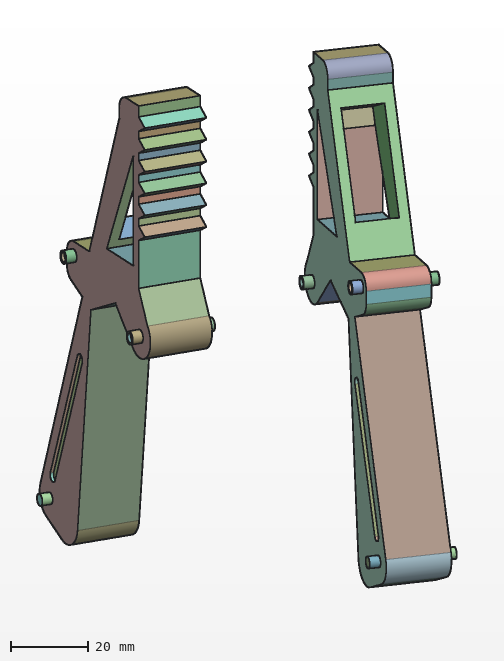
import math

import cadquery as cq

TILT = math.radians(22.2)

THICKNESS = 18.0
PIN_LENGTH = 3.0
PIN_DIAMETER = 3.6
HANDLE_PIN_DIAMETER = 3.2
PIN_BORE_DIAMETER = 2.6
PIN_BORE_DEPTH = 1.0
REAR_PIN = (0, 0)
ARM_PIN = (37.97, -10.45)
HANDLE_PIN = (-13.52, -70.94)

LUG_RADIUS = 3.9
LUG_STRAIGHT = 3.6

JAW_TOP = 52.65
JAW_FACE_X = 37.2
JAW_TOP_WIDTH = 11.2
JAW_SHOULDER_DROP = 7.0
JAW_CORNER_RADIUS = 4.0

ARM_RADIUS = 6.0
ARM_FRONT_LEAN = math.radians(30)
ARM_CHIN = (JAW_FACE_X, 2.5)
ARM_NOTCH = (23.85, -5.67)

NECK_WIDTH = 5.4
HANDLE_END_WIDTH = 24.4
HANDLE_REAR_RADIUS = 6.0
HANDLE_FRONT_RADIUS = 6.6

GROOVE_WIDTH = 3.0
GROOVE_SPACING = 40.0
GROOVE_DEPTH = 1.0
GROOVE_START = (1.6, 6.5)
GROOVE_LEAN = math.radians(22.7)

TOOTH_COUNT = 6
TOOTH_PITCH = 6.0
TOOTH_BASE = 4.0
TOOTH_HEIGHT = 3.5
FIRST_TOOTH_DROP = 3.0

OPENING_WIDTH = 15.0
OPENING_HEIGHT = 30.0
OPENING_WALL = 3.2
OPENING_FLOOR = 7.77
POCKET_LENGTH = 30.0
POCKET_WIDTH = 12.0
POCKET_DEPTH = 9.95
POCKET_SETBACK = 5.0


def from_tilted(across, along):
    """X and Z of a point given in the tilted frame of the handle."""
    x = across * math.cos(TILT) + along * math.sin(TILT)
    z = along * math.cos(TILT) - across * math.sin(TILT)
    return (x, z)


def to_tilted(point):
    """Across and along values of a point given by X and Z."""
    x, z = point
    across = x * math.cos(TILT) - z * math.sin(TILT)
    along = x * math.sin(TILT) + z * math.cos(TILT)
    return (across, along)


def plate(points, thickness=THICKNESS):
    """Polygon in the XZ plane, extruded evenly to both sides of Y = 0."""
    return cq.Workplane("XZ").polyline(points).close().extrude(thickness / 2, both=True)


def disc(center, diameter, thickness):
    """Cylinder along Y, centred on Y = 0."""
    return cq.Workplane("XZ").center(*center).circle(diameter / 2).extrude(thickness / 2, both=True)


def round_corner(body, corner, radius):
    """Fillet the edge that runs along Y through the given corner."""
    x, z = corner
    return body.edges(cq.selectors.NearestToPointSelector((x, 0, z))).fillet(radius)


lug_bottom_along = to_tilted((0, -LUG_STRAIGHT))[1] - LUG_RADIUS
handle_pin_across, handle_pin_along = to_tilted(HANDLE_PIN)
handle_rear_across = handle_pin_across - HANDLE_REAR_RADIUS
handle_end_along = handle_pin_along - HANDLE_REAR_RADIUS

neck_rear = from_tilted(handle_rear_across, lug_bottom_along)
neck_front = from_tilted(handle_rear_across + NECK_WIDTH, lug_bottom_along)
handle_end_rear = from_tilted(handle_rear_across, handle_end_along)
handle_end_front = from_tilted(handle_rear_across + HANDLE_END_WIDTH, handle_end_along)

jaw_rear_x = JAW_FACE_X - JAW_TOP_WIDTH
jaw_rear_top = (jaw_rear_x, JAW_TOP)
jaw_shoulder = (jaw_rear_x, JAW_TOP - JAW_SHOULDER_DROP)
jaw_rear_foot_x = jaw_rear_x - (jaw_shoulder[1] - LUG_RADIUS) * math.tan(TILT)
jaw_rear_foot = (jaw_rear_foot_x, LUG_RADIUS)

lug_top = (-LUG_RADIUS, LUG_RADIUS)
lug_bottom_z = (lug_bottom_along + LUG_RADIUS * math.sin(TILT)) / math.cos(TILT)
lug_bottom = (-LUG_RADIUS, lug_bottom_z)


def make_body():
    """Jaw, rear lug and handle as one plate with rounded corners."""
    body = plate([
        jaw_rear_top,
        (JAW_FACE_X, JAW_TOP),
        ARM_CHIN,
        ARM_NOTCH,
        neck_front,
        handle_end_front,
        handle_end_rear,
        neck_rear,
        lug_bottom,
        lug_top,
        jaw_rear_foot,
        jaw_shoulder,
    ])
    body = round_corner(body, jaw_rear_top, JAW_CORNER_RADIUS)
    body = round_corner(body, lug_top, LUG_RADIUS)
    body = round_corner(body, lug_bottom, LUG_RADIUS)
    body = round_corner(body, handle_end_rear, HANDLE_REAR_RADIUS)
    body = round_corner(body, handle_end_front, HANDLE_FRONT_RADIUS)
    return body


def arm_front_foot():
    """Point of the front edge of the arm that lies nearest to the arm pin."""
    step_x = math.sin(ARM_FRONT_LEAN)
    step_z = -math.cos(ARM_FRONT_LEAN)
    run = (ARM_PIN[0] - ARM_CHIN[0]) * step_x + (ARM_PIN[1] - ARM_CHIN[1]) * step_z
    return (ARM_CHIN[0] + run * step_x, ARM_CHIN[1] + run * step_z)


def arm_rear_tangent():
    """Point where the rear edge of the arm runs tangent into the round end."""
    dx = ARM_NOTCH[0] - ARM_PIN[0]
    dz = ARM_NOTCH[1] - ARM_PIN[1]
    angle = math.atan2(dz, dx) + math.acos(ARM_RADIUS / math.hypot(dx, dz))
    x = ARM_PIN[0] + ARM_RADIUS * math.cos(angle)
    z = ARM_PIN[1] + ARM_RADIUS * math.sin(angle)
    return (x, z)


def make_arm():
    """Front arm: two straight edges that end in a disc around the arm pin."""
    web = plate([ARM_CHIN, arm_front_foot(), ARM_PIN, arm_rear_tangent(), ARM_NOTCH])
    return web.union(disc(ARM_PIN, 2 * ARM_RADIUS, THICKNESS))


def make_tooth(index):
    """Triangular tooth across the full thickness of the jaw face."""
    top = JAW_TOP - FIRST_TOOTH_DROP - index * TOOTH_PITCH
    tip = (JAW_FACE_X + TOOTH_HEIGHT, top - TOOTH_BASE / 2)
    return plate([(JAW_FACE_X, top), tip, (JAW_FACE_X, top - TOOTH_BASE)])


def make_opening():
    """Right-angled triangular cutter through the jaw."""
    front_x = JAW_FACE_X - OPENING_WALL
    return plate([
        (front_x, OPENING_FLOOR),
        (front_x, OPENING_FLOOR + OPENING_HEIGHT),
        (front_x - OPENING_WIDTH, OPENING_FLOOR),
    ])


def make_pocket():
    """Cutter sunk square into the sloping rear face of the jaw."""
    rear, shoulder_along = to_tilted(jaw_shoulder)
    top = shoulder_along - POCKET_SETBACK
    bottom = top - POCKET_LENGTH
    floor = rear + POCKET_DEPTH
    return plate([
        from_tilted(rear, top),
        from_tilted(floor, top),
        from_tilted(floor, bottom),
        from_tilted(rear, bottom),
    ], POCKET_WIDTH)


def make_grooves():
    """Round-ended groove cutters, one for each side of the handle."""
    middle_x = HANDLE_PIN[0] + GROOVE_START[0] + GROOVE_SPACING / 2 * math.sin(GROOVE_LEAN)
    middle_z = HANDLE_PIN[1] + GROOVE_START[1] + GROOVE_SPACING / 2 * math.cos(GROOVE_LEAN)
    slot_angle = 90 - math.degrees(GROOVE_LEAN)
    through_slot = (
        cq.Workplane("XZ")
        .center(middle_x, middle_z)
        .slot2D(GROOVE_SPACING + GROOVE_WIDTH, GROOVE_WIDTH, slot_angle)
        .extrude(THICKNESS / 2, both=True)
    )
    core_thickness = THICKNESS - 2 * GROOVE_DEPTH
    core = cq.Workplane("XY").box(GROOVE_SPACING * 2, core_thickness, GROOVE_SPACING * 2)
    return through_slot.cut(core.translate((middle_x, 0, middle_z)))


def make_pin(center, diameter):
    """Pin standing out of both sides of the plate."""
    return disc(center, diameter, THICKNESS + 2 * PIN_LENGTH)


def make_pin_bores(center):
    """Blind bore cutters for the two ends of a pin."""
    full_length = THICKNESS + 2 * PIN_LENGTH
    bores = disc(center, PIN_BORE_DIAMETER, full_length)
    core = disc(center, PIN_BORE_DIAMETER, full_length - 2 * PIN_BORE_DEPTH)
    return bores.cut(core)


result = make_body().union(make_arm())
for tooth_index in range(TOOTH_COUNT):
    result = result.union(make_tooth(tooth_index))
result = result.cut(make_opening()).cut(make_pocket()).cut(make_grooves())

result = result.union(make_pin(REAR_PIN, PIN_DIAMETER))
result = result.union(make_pin(ARM_PIN, PIN_DIAMETER))
result = result.union(make_pin(HANDLE_PIN, HANDLE_PIN_DIAMETER))
for bored_pin in (REAR_PIN, ARM_PIN):
    result = result.cut(make_pin_bores(bored_pin))